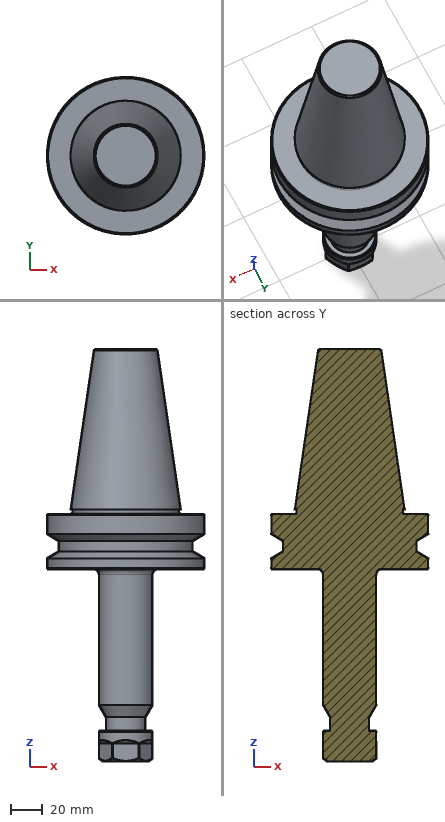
import cadquery as cq
import math

total_height = 261.8
gauge_z = 160.0

taper_radius = 70.0 / 2
taper_slope = 7 / 48
taper_top_radius = taper_radius - taper_slope * (total_height - gauge_z)
taper_edge = 1.0

relief_depth = 1.0
relief_radius = taper_radius - relief_depth

flange_radius = 50.0
flange_top = 157.0
flange_bottom = 122.0
flange_edge = 0.8
groove_radius = 85.0 / 2
groove_center_z = 136.7
groove_floor_width = 6.5
groove_flank_height = 4.5

shank_radius = 17.0
shank_fillet = 3.5
shank_bottom = 35.9
neck_radius = 12.5
neck_taper_angle = 30.0
neck_top = shank_bottom - (shank_radius - neck_radius) / math.tan(math.radians(neck_taper_angle))

nut_radius = 17.0
nut_top = 19.6
nut_top_edge = 0.8
nut_bottom_edge_width = 2.5
nut_bottom_edge_height = 2.0
flat_count = 6
flat_distance = 15.0
flat_top = 11.5
flat_runout = 5.2


def revolved(profile):
    """Close a radius-height profile and turn it about the Z axis."""
    return profile.close().revolve(360, (0, 0, 0), (0, 1, 0))


def make_taper():
    return revolved(
        cq.Workplane("XZ")
        .moveTo(0, flange_top)
        .lineTo(taper_radius, flange_top)
        .radiusArc((relief_radius, flange_top + relief_depth), relief_depth)
        .lineTo(relief_radius, gauge_z)
        .lineTo(taper_radius, gauge_z)
        .lineTo(taper_top_radius, total_height)
        .lineTo(0, total_height)
    ).faces(">Z").chamfer(taper_edge)


def make_flange():
    floor_top = groove_center_z + groove_floor_width / 2
    floor_bottom = groove_center_z - groove_floor_width / 2
    disc = (
        cq.Workplane("XY", origin=(0, 0, flange_bottom))
        .circle(flange_radius)
        .extrude(flange_top - flange_bottom)
        .faces("<Z or >Z")
        .chamfer(flange_edge)
    )
    groove = (
        cq.Workplane("XZ")
        .polyline([
            (groove_radius, floor_bottom),
            (flange_radius, floor_bottom - groove_flank_height),
            (flange_radius, floor_top + groove_flank_height),
            (groove_radius, floor_top),
        ])
    )
    return disc.cut(revolved(groove))


def make_shank():
    return revolved(
        cq.Workplane("XZ")
        .moveTo(0, nut_top)
        .lineTo(neck_radius, nut_top)
        .lineTo(neck_radius, neck_top)
        .lineTo(shank_radius, shank_bottom)
        .lineTo(shank_radius, flange_bottom - shank_fillet)
        .radiusArc((shank_radius + shank_fillet, flange_bottom), shank_fillet)
        .lineTo(0, flange_bottom)
    )


def make_nut():
    nut = revolved(
        cq.Workplane("XZ")
        .lineTo(nut_radius - nut_bottom_edge_width, 0)
        .lineTo(nut_radius, nut_bottom_edge_height)
        .lineTo(nut_radius, nut_top - nut_top_edge)
        .lineTo(nut_radius - nut_top_edge, nut_top)
        .lineTo(0, nut_top)
    )
    flat_cutter = (
        cq.Workplane("YZ")
        .polyline([
            (flat_distance, 0),
            (flat_distance, flat_top),
            (flat_distance + flat_runout, flat_top + flat_runout),
            (flat_distance + flat_runout, 0),
        ])
        .close()
        .extrude(nut_radius, both=True)
    )
    for index in range(flat_count):
        nut = nut.cut(flat_cutter.rotate((0, 0, 0), (0, 0, 1), index * 360 / flat_count))
    return nut


result = make_taper().union(make_flange()).union(make_shank()).union(make_nut())